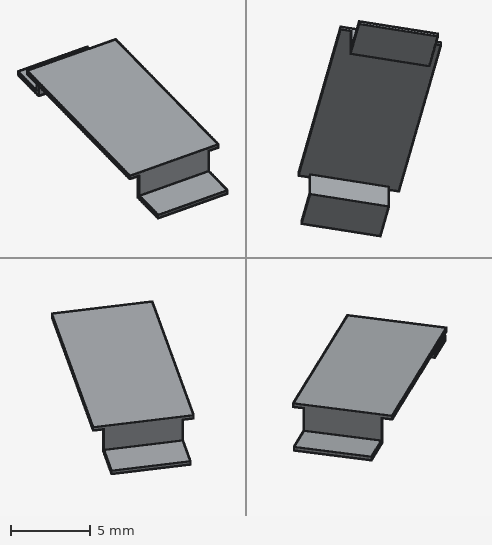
import cadquery as cq

overall_length = 17.4
plate_width = 6.47
overall_height = 2.1

sheet_thickness = 0.26
plate_length = 12.74
leg_width = 5.08


def bridge_plate():
    """Wide flat plate on top, flush with the outer faces of the legs."""
    return (
        cq.Workplane("XY")
        .workplane(offset=overall_height - sheet_thickness)
        .rect(plate_length, plate_width)
        .extrude(sheet_thickness)
    )


def right_leg():
    """L-shaped leg: an upright under the plate end and a foot pointing outward."""
    upright_outer = plate_length / 2
    upright_inner = upright_outer - sheet_thickness
    foot_end = overall_length / 2
    upright_top = overall_height - sheet_thickness
    return (
        cq.Workplane("XZ")
        .moveTo(upright_inner, 0)
        .lineTo(foot_end, 0)
        .lineTo(foot_end, sheet_thickness)
        .lineTo(upright_outer, sheet_thickness)
        .lineTo(upright_outer, upright_top)
        .lineTo(upright_inner, upright_top)
        .close()
        .extrude(leg_width / 2, both=True)
    )


leg = right_leg()
result = bridge_plate().union(leg).union(leg.mirror("YZ"))